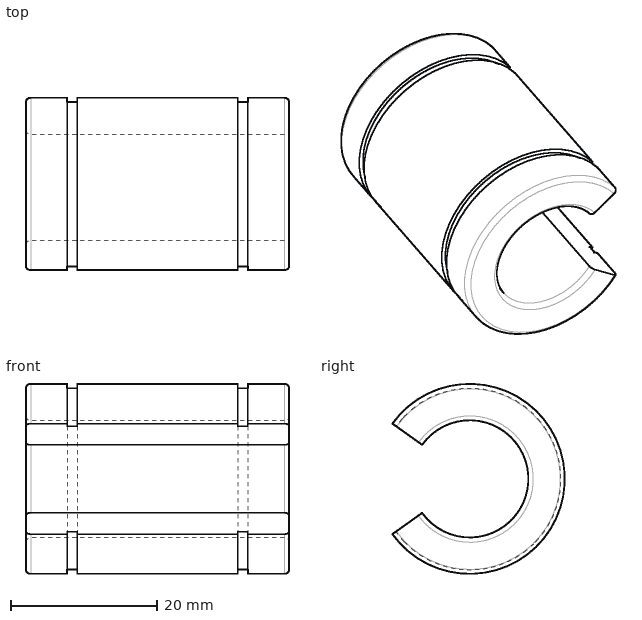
import cadquery as cq
import math

length = 36.0
outer_radius = 13.0
bore_radius = 8.0
edge_round = 0.65
groove_width = 1.35
groove_depth = 0.58
groove_offset = 5.65
opening_half_angle = 35.5


def tube():
    """Tube along X with rounded rims at both ends, inside and out."""
    body = (
        cq.Workplane("YZ")
        .circle(outer_radius)
        .circle(bore_radius)
        .extrude(length / 2, both=True)
    )
    return body.faces("<X or >X").edges().fillet(edge_round)


def ring_groove(x_start):
    """Ring of material to remove for one retaining groove."""
    return (
        cq.Workplane("YZ", origin=(x_start, 0, 0))
        .circle(outer_radius + groove_depth)
        .circle(outer_radius - groove_depth)
        .extrude(groove_width)
    )


def opening():
    """Wedge with radial sides that opens the tube toward -Y."""
    reach = 2 * outer_radius
    half_height = reach * math.tan(math.radians(opening_half_angle))
    return (
        cq.Workplane("YZ")
        .polyline([(0, 0), (-reach, half_height), (-reach, -half_height)])
        .close()
        .extrude(length, both=True)
    )


result = tube()
groove_start = length / 2 - groove_offset
for x_start in (-groove_start, groove_start - groove_width):
    result = result.cut(ring_groove(x_start))
result = result.cut(opening())